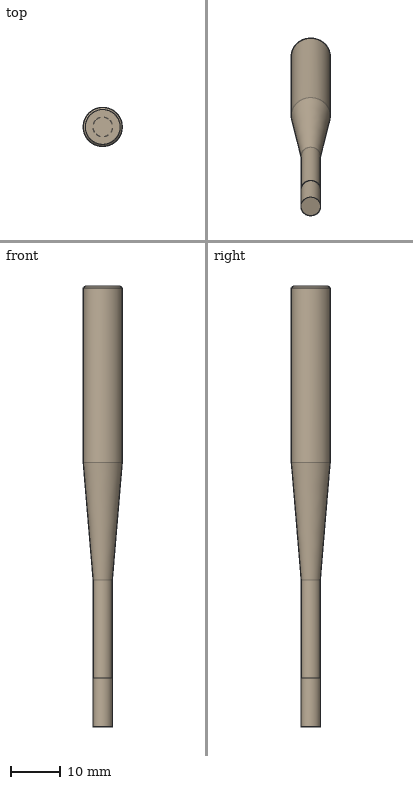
import cadquery as cq

total_length = 90.0
shank_diameter = 8.0
shank_length = 36.0
shank_chamfer = 0.45
neck_diameter = 4.0
tip_diameter = 4.05
tip_length = 10.0
neck_length = 20.0

neck_top = tip_length + neck_length
shank_bottom = total_length - shank_length
shank_radius = shank_diameter / 2
neck_radius = neck_diameter / 2


def make_tip():
    """Plain cylindrical cutting tip below the neck."""
    return cq.Workplane("XY").circle(tip_diameter / 2).extrude(tip_length)


def make_holder():
    """Neck, taper and chamfered shank, revolved as one body."""
    half_profile = (
        cq.Workplane("XZ")
        .moveTo(0, tip_length)
        .lineTo(neck_radius, tip_length)
        .lineTo(neck_radius, neck_top)
        .lineTo(shank_radius, shank_bottom)
        .lineTo(shank_radius, total_length - shank_chamfer)
        .lineTo(shank_radius - shank_chamfer, total_length)
        .lineTo(0, total_length)
        .close()
    )
    return half_profile.revolve(360, (0, 0, 0), (0, 1, 0))


tip = make_tip()
holder = make_holder()

result = cq.Compound.makeCompound([holder.val(), tip.val()])